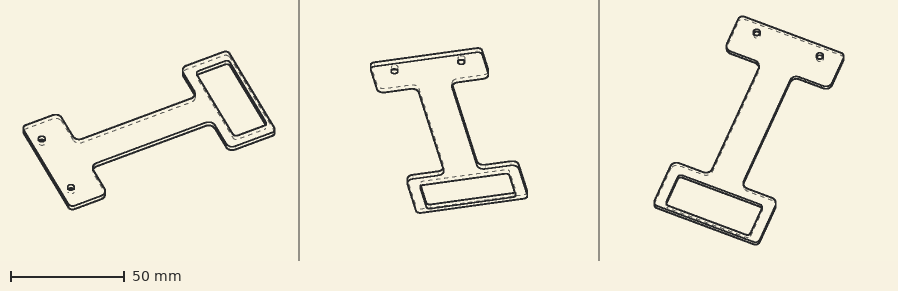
import cadquery as cq

width = 50.0
length = 100.0
thickness = 2.5

head_length = 23.0
foot_length = 18.0
neck_width = 15.0
end_radius = 2.0
shoulder_radius = 3.0

window_width = 40.0
window_length = 16.0
window_end_margin = 2.0
window_radius = 1.5

hole_diameter = 3.0
hole_spacing = 30.0
hole_end_margin = 5.0

end_y = length / 2
head_y = end_y - head_length
foot_y = -end_y + foot_length


def plate_block(block_width, y_min, y_max):
    """Plate-thick rectangle centred on X, spanning y_min to y_max."""
    block_length = y_max - y_min
    middle_y = (y_min + y_max) / 2
    return cq.Workplane("XY").center(0, middle_y).rect(block_width, block_length).extrude(thickness)


def make_body():
    """I-shaped plate with rounded ends, shoulders and neck."""
    head = plate_block(width, head_y, end_y)
    foot = plate_block(width, -end_y, foot_y)
    neck = plate_block(neck_width, foot_y, head_y)
    plate = head.union(neck).union(foot)
    plate = plate.edges("|Z and (>Y or <Y)").fillet(end_radius)
    margin = 1.0
    shoulder_zone = cq.selectors.BoxSelector(
        (-width, foot_y - margin, -margin),
        (width, head_y + margin, thickness + margin),
    )
    return plate.edges("|Z").edges(shoulder_zone).fillet(shoulder_radius)


def make_window():
    """Rounded opening through the head."""
    window_top = end_y - window_end_margin
    window = plate_block(window_width, window_top - window_length, window_top)
    return window.edges("|Z").fillet(window_radius)


def make_holes():
    """Pair of through holes in the foot."""
    hole_y = -end_y + hole_end_margin
    centres = [(side * hole_spacing / 2, hole_y) for side in (-1, 1)]
    return cq.Workplane("XY").pushPoints(centres).circle(hole_diameter / 2).extrude(thickness)


result = make_body().cut(make_window()).cut(make_holes())